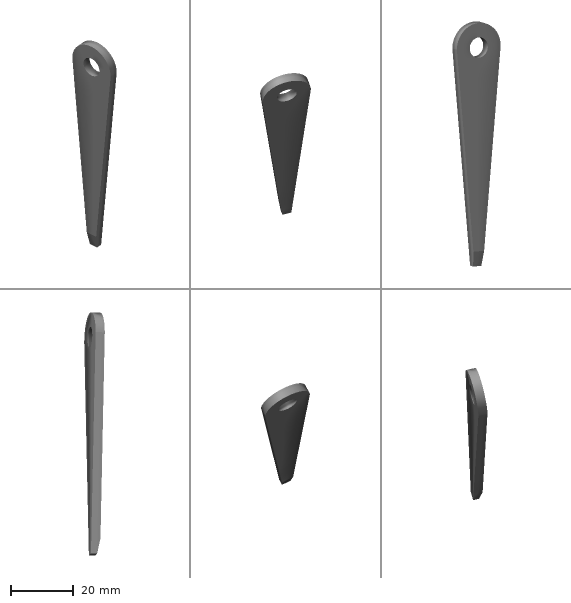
import cadquery as cq

thickness = 3.0
head_radius = 8.0
hole_diameter = 6.6
length = 79.0
tip_width = 3.0

bevel_height = 5.0
bevel_depth = 1.0

tip_z = head_radius - length
front_y = -thickness / 2


def tapered_blank():
    """Flat bar with a half-round head, tapering straight down to the tip."""
    outline = (
        cq.Workplane("XZ", origin=(0, thickness / 2, 0))
        .moveTo(-tip_width / 2, tip_z)
        .lineTo(-head_radius, 0)
        .threePointArc((0, head_radius), (head_radius, 0))
        .lineTo(tip_width / 2, tip_z)
        .close()
    )
    return outline.extrude(thickness)


def head_hole():
    """Round hole through the full thickness."""
    return (
        cq.Workplane("XZ", origin=(0, thickness / 2, 0))
        .circle(hole_diameter / 2)
        .extrude(thickness)
    )


def tip_bevel():
    """Wedge that thins the front face towards the tip."""
    return (
        cq.Workplane("YZ")
        .moveTo(front_y, tip_z)
        .lineTo(front_y + bevel_depth, tip_z)
        .lineTo(front_y, tip_z + bevel_height)
        .close()
        .extrude(head_radius, both=True)
    )


result = tapered_blank().cut(head_hole()).cut(tip_bevel())